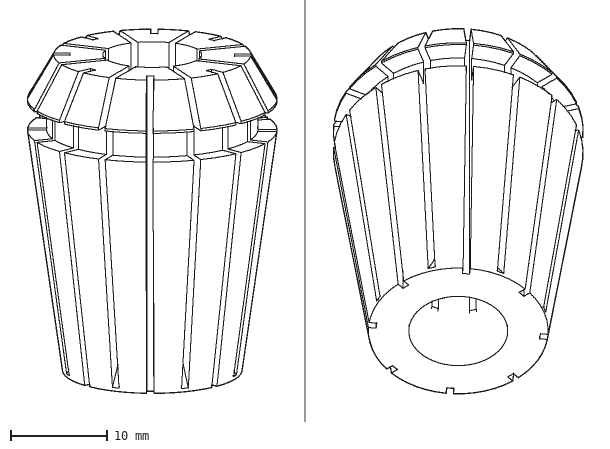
import cadquery as cq
import math

length = 34.0
max_radius = 13.0
bore_radius = 5.15

body_taper_angle = 8.0
nose_taper_angle = 30.0
nose_top_radius = 10.26

groove_radius = 11.0
groove_bottom = 25.9
groove_top = 29.0

slot_width = 0.75
slot_count = 8
slot_pitch = 360.0 / slot_count

long_slot_outer_z = 0.4
long_slot_inner_z = 7.9
cutter_radius = 40.0

shallow_slot_floor_radius = 8.55

clearance = 1.0


def body_radius(z):
    """Radius of the body taper at height z."""
    return max_radius - (groove_bottom - z) * math.tan(math.radians(body_taper_angle))


def make_body():
    """Turned body with its bore, revolved about Z."""
    nose_height = (max_radius - nose_top_radius) / math.tan(math.radians(nose_taper_angle))
    profile = (
        cq.Workplane("XZ")
        .moveTo(bore_radius, 0)
        .lineTo(body_radius(0), 0)
        .lineTo(max_radius, groove_bottom)
        .lineTo(groove_radius, groove_bottom)
        .lineTo(groove_radius, groove_top)
        .lineTo(max_radius, groove_top)
        .lineTo(max_radius, length - nose_height)
        .lineTo(nose_top_radius, length)
        .lineTo(bore_radius, length)
        .close()
    )
    return profile.revolve(360, (0, 0, 0), (0, 1, 0))


def make_long_slot():
    """Slot along +X from the axis outward, with the rounded run-out left by a disc cutter."""
    inner_radius = math.sqrt(bore_radius**2 - (slot_width / 2) ** 2)
    outer_radius = max_radius + clearance
    return (
        cq.Workplane("XZ")
        .moveTo(0, length + clearance)
        .lineTo(0, long_slot_inner_z)
        .lineTo(inner_radius, long_slot_inner_z)
        .radiusArc((body_radius(long_slot_outer_z), long_slot_outer_z), -cutter_radius)
        .lineTo(outer_radius, long_slot_outer_z)
        .lineTo(outer_radius, length + clearance)
        .close()
        .extrude(slot_width / 2, both=True)
    )


def make_shallow_slot():
    """Flat-floored slot along +X through the full length."""
    depth = max_radius + clearance - shallow_slot_floor_radius
    return (
        cq.Workplane("XY")
        .box(depth, slot_width, length, centered=(False, True, False))
        .translate((shallow_slot_floor_radius, 0, 0))
    )


def turned_about_axis(shape, angle):
    """Copy of a shape turned about the Z axis by an angle in degrees."""
    return shape.rotate((0, 0, 0), (0, 0, 1), angle)


result = make_body()
long_slot = make_long_slot()
shallow_slot = make_shallow_slot()
for index in range(slot_count):
    angle = index * slot_pitch
    result = result.cut(turned_about_axis(long_slot, angle))
    result = result.cut(turned_about_axis(shallow_slot, angle + slot_pitch / 2))